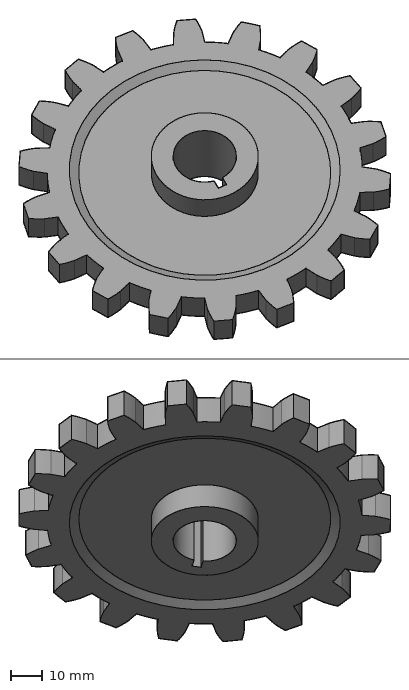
import cadquery as cq
import math

tooth_count = 18
outer_diameter = 118.0
root_radius = 50.0
root_width = 10.0
shoulder_distance = 54.2
shoulder_width = 9.1
curve_middle_distance = 56.8
curve_middle_width = 7.7
tip_width = 6.0

hub_length = 25.0
rim_thickness = 10.0

hub_diameter = 34.0
bore_diameter = 20.1
keyway_width = 3.0
keyway_reach = 13.0

recess_depth = 1.5
recess_mouth_diameter = 86.0
recess_floor_diameter = 80.0


def tooth_point(distance, offset, angle):
    """Place a point at a distance along a tooth and an offset from its centre line."""
    return (
        distance * math.cos(angle) - offset * math.sin(angle),
        distance * math.sin(angle) + offset * math.cos(angle),
    )


def make_toothed_disc():
    """Disc whose outline repeats one tooth and one root arc around the axis."""
    pitch_angle = 2 * math.pi / tooth_count
    tip_distance = outer_diameter / 2
    root_distance = math.sqrt(root_radius**2 - (root_width / 2) ** 2)

    outline = cq.Workplane("XY").workplane(offset=-rim_thickness / 2)
    outline = outline.moveTo(root_distance, -root_width / 2)
    for index in range(tooth_count):
        angle = index * pitch_angle
        gap_angle = angle + pitch_angle / 2
        next_angle = angle + pitch_angle
        outline = (
            outline
            .lineTo(*tooth_point(shoulder_distance, -shoulder_width / 2, angle))
            .threePointArc(
                tooth_point(curve_middle_distance, -curve_middle_width / 2, angle),
                tooth_point(tip_distance, -tip_width / 2, angle),
            )
            .lineTo(*tooth_point(tip_distance, tip_width / 2, angle))
            .threePointArc(
                tooth_point(curve_middle_distance, curve_middle_width / 2, angle),
                tooth_point(shoulder_distance, shoulder_width / 2, angle),
            )
            .lineTo(*tooth_point(root_distance, root_width / 2, angle))
            .threePointArc(
                tooth_point(root_radius, 0, gap_angle),
                tooth_point(root_distance, -root_width / 2, next_angle),
            )
        )
    return outline.close().extrude(rim_thickness)


def make_upper_recess():
    """Shallow cone frustum that sinks the upper face inside the rim."""
    face_height = rim_thickness / 2
    floor_height = face_height - recess_depth
    return (
        cq.Workplane("XZ")
        .moveTo(0, floor_height)
        .lineTo(recess_floor_diameter / 2, floor_height)
        .lineTo(recess_mouth_diameter / 2, face_height)
        .lineTo(0, face_height)
        .close()
        .revolve(360, (0, 0), (0, 1))
    )


def make_axial_cylinder(diameter):
    """Cylinder on the gear axis, as long as the hub."""
    return cq.Workplane("XY").circle(diameter / 2).extrude(hub_length / 2, both=True)


def make_keyway():
    """Slot from the axis out through the bore wall on the +X side."""
    return cq.Workplane("XY").box(
        keyway_reach, keyway_width, hub_length, centered=(False, True, True)
    )


upper_recess = make_upper_recess()
lower_recess = upper_recess.mirror("XY")

result = (
    make_toothed_disc()
    .cut(upper_recess)
    .cut(lower_recess)
    .union(make_axial_cylinder(hub_diameter))
    .cut(make_axial_cylinder(bore_diameter))
    .cut(make_keyway())
)